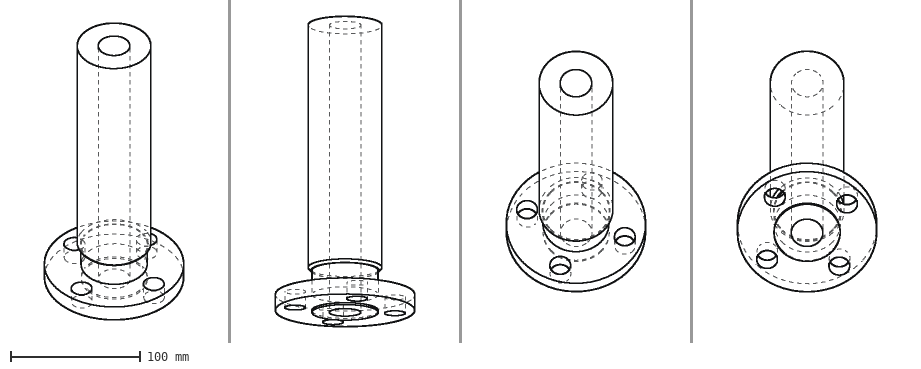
import cadquery as cq

total_height = 228.5
bore_diameter = 24.5

flange_diameter = 108.0
flange_thickness = 12.8
face_height = 1.5
face_diameter = 51.2

bolt_hole_count = 4
bolt_hole_diameter = 16.0
bolt_circle_diameter = 79.3

neck_diameter = face_diameter
barrel_diameter = 57.2
barrel_bottom = 33.4
barrel_chamfer = 2.3

flange_top = face_height + flange_thickness


def cylinder(diameter, bottom, top):
    """Upright cylinder on the Z axis between two heights."""
    return cq.Workplane("XY").workplane(offset=bottom).circle(diameter / 2).extrude(top - bottom)


def make_flange():
    """Flange disc with its bolt holes."""
    disc = cylinder(flange_diameter, face_height, flange_top)
    return (
        disc.faces(">Z")
        .workplane()
        .polarArray(bolt_circle_diameter / 2, 0, 360, bolt_hole_count)
        .hole(bolt_hole_diameter)
    )


def make_barrel():
    """Long barrel with a chamfered lower edge."""
    barrel = cylinder(barrel_diameter, barrel_bottom, total_height)
    return barrel.faces("<Z").edges().chamfer(barrel_chamfer)


raised_face = cylinder(face_diameter, 0, face_height)
neck = cylinder(neck_diameter, flange_top, barrel_bottom)
bore = cylinder(bore_diameter, 0, total_height)

result = make_flange().union(raised_face).union(neck).union(make_barrel()).cut(bore)